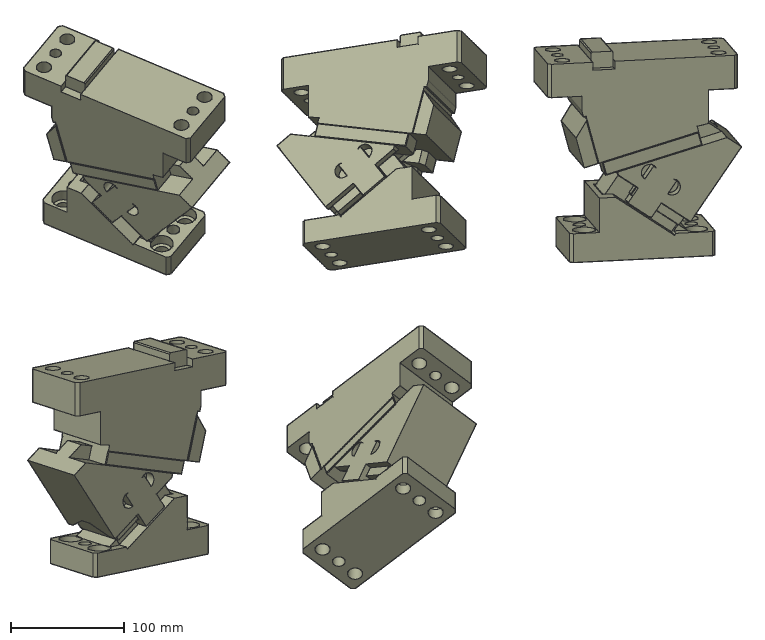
import cadquery as cq
import math

WIDTH = 65.0
HALF_WIDTH = WIDTH / 2
CORNER_CHAMFER = 3.0
HOLE_INSET = 15.0
SCREW_Y = 20.0
DOWEL_DIAMETER = 10.1
SCREW_DIAMETER = 13.1
REACH = 225.0

HOLDER_LENGTH = 170.0
HOLDER_TOP = 180.2
FLANGE_BOTTOM = 150.0
NECK_LEFT = 30.2
NECK_RIGHT = 143.6
NECK_RIGHT_BOTTOM = 119.8
NECK_LEFT_BOTTOM = 136.7
NECK_LIP_X = 31.7
KEY_LEFT = 40.0
KEY_WIDTH = 19.9
KEY_LENGTH = 50.0
KEY_TOP = 187.5
KEY_SLOT_DEPTH = 7.1
KEY_CHAMFER = 1.1

RAIL_ANGLE = 15.0
RAIL_X = 45.5
RAIL_Z = 88.7
RAIL_LENGTH = 92.5
HOLDER_STEP = 5.2
STRIP_START = 3.0
STRIP_HEIGHT = 12.5
STRIP_INNER_Y = 9.4
STRIP_LEAD_IN = 4.5
STRIP_CHAMFER = 0.8

STOP_HEIGHT = 41.2
STOP_THICKNESS = 13.7
STOP_OUTER_HEIGHT = 28.3
STOP_CHAMFER = 1.0

DRIVER_LEFT = 19.7
DRIVER_RIGHT = 150.0
LEFT_STEP_TOP = 26.0
RIGHT_STEP_TOP = 22.0
STEP_X = 45.8
COUNTERBORE_DIAMETER = 20.0
LEFT_COUNTERBORE_DEPTH = 11.0
RIGHT_COUNTERBORE_DEPTH = 10.1
DRIVER_DOWEL_DIAMETER = 11.0

SLOPE_ANGLE = 35.0
SLOPE_X = 60.4
SLOPE_Z = 57.2
GUIDE_START = -5.5
GUIDE_END = 64.5
GUIDE_ROOT = -9.0
CORE_HALF_WIDTH = 19.3
WING_START = 11.8
WING_BOTTOM = 9.0
WING_HALF_WIDTH = 26.2
TAIL_HALF_WIDTH = 23.2
ROOF_ANGLE = 30.0
ROOF_FLAT_HALF_WIDTH = 5.6
RELIEF_LENGTH = 1.9
RELIEF_BOTTOM = -5.5
LEAD_IN_HEIGHT = 10.5
LEAD_IN_LENGTH = 4.3

SLIDER_BOTTOM = 17.5
SLIDER_TOP = 97.5
SLIDER_END = 69.5
RAIL_CLEARANCE = 0.2
SLIDER_RAIL_START = 13.9
LEG_START = 12.4
LEG_END = 37.7
LEG_BOTTOM = 1.7
LEG_INNER_Y = 27.0
HOOK_TOP = 8.5
HOOK_INNER_Y = 20.5
POCKET_RADIUS = 7.1
POCKET_DEPTH = 10.0
POCKET_START = 12.8
POCKET_SPACING = 25.1
POCKET_HEIGHT = 34.7
POCKET_LAND_RISE = 6.5

SIN_RAIL = math.sin(math.radians(RAIL_ANGLE))
COS_RAIL = math.cos(math.radians(RAIL_ANGLE))
SIN_SLOPE = math.sin(math.radians(SLOPE_ANGLE))
COS_SLOPE = math.cos(math.radians(SLOPE_ANGLE))
ROOF_RISE = (WING_HALF_WIDTH - ROOF_FLAT_HALF_WIDTH) * math.tan(math.radians(ROOF_ANGLE))
ROOF_TOP = SLIDER_BOTTOM + ROOF_RISE

FRONT_PLANE = cq.Plane.named("XZ")
RAIL_PLANE = cq.Plane((RAIL_X, 0, RAIL_Z), (COS_RAIL, 0, SIN_RAIL), (0, -1, 0))
SLOPE_PLANE = cq.Plane((SLOPE_X, 0, SLOPE_Z), (COS_SLOPE, 0, -SIN_SLOPE), (0, -1, 0))


def rail_point(along, above):
    """X and Z of a point given along the rail and square to it."""
    return (RAIL_X + along * COS_RAIL - above * SIN_RAIL, RAIL_Z + along * SIN_RAIL + above * COS_RAIL)


def prism(plane, points, half_width):
    """A polygon drawn on a side plane and extruded equally to both sides of Y = 0."""
    return cq.Workplane(plane).polyline(points).close().extrude(half_width, both=True)


def block(plane, x_range, y_range, half_width):
    """A rectangular block on a side plane, centred on Y = 0."""
    x0, x1 = x_range
    y0, y1 = y_range
    return prism(plane, [(x0, y0), (x1, y0), (x1, y1), (x0, y1)], half_width)


def side_block(plane, x_range, y_range, inner, outer):
    """A rectangular block that spans Y from -outer to -inner."""
    x0, x1 = x_range
    y0, y1 = y_range
    flat = cq.Workplane(plane).workplane(offset=inner).polyline([(x0, y0), (x1, y0), (x1, y1), (x0, y1)])
    return flat.close().extrude(outer - inner)


def both_sides(shape):
    """The shape and its mirror image across Y = 0."""
    return shape.union(shape.mirror("XZ"))


def cylinders(places, diameter, bottom, top):
    """Upright cylinders centred on the given X, Y places."""
    disc = cq.Workplane("XY").workplane(offset=bottom).pushPoints(places).circle(diameter / 2)
    return disc.extrude(top - bottom)


def screw_places(left, right):
    return [(x, y) for x in (left, right) for y in (-SCREW_Y, SCREW_Y)]


def dowel_places(left, right):
    return [(left, 0), (right, 0)]


def corner_block(left, right, top):
    """An upright block on the floor with its four vertical edges chamfered."""
    length = right - left
    return (
        cq.Workplane("XY")
        .center((left + right) / 2, 0)
        .rect(length, WIDTH)
        .extrude(top)
        .edges("|Z")
        .chamfer(CORNER_CHAMFER)
    )


def make_key():
    bottom = HOLDER_TOP - KEY_SLOT_DEPTH
    key = cq.Workplane("XY").box(KEY_WIDTH, KEY_LENGTH, KEY_TOP - bottom, centered=(False, True, False))
    key = key.faces(">Z").edges("|Y").chamfer(KEY_CHAMFER)
    return key.translate((KEY_LEFT, 0, bottom))


def make_stop_plate():
    """Four-sided plate against the left face of the holder, chamfered at the sides of that face."""
    points = [(0, 0), (0, STOP_HEIGHT), (-STOP_THICKNESS, STOP_OUTER_HEIGHT), (-STOP_THICKNESS, 0)]
    plate = prism(RAIL_PLANE, points, HALF_WIDTH)
    middle_x, middle_z = rail_point(0, STOP_HEIGHT / 2)
    for side in (-HALF_WIDTH, HALF_WIDTH):
        edge = cq.selectors.NearestToPointSelector((middle_x, side, middle_z))
        plate = plate.edges(edge).chamfer(STOP_CHAMFER)
    return plate


def make_strips():
    """Two slide strips under the holder, one on each side of the slider's tongue."""
    length = (STRIP_START, RAIL_LENGTH)
    strip = side_block(RAIL_PLANE, length, (-STRIP_HEIGHT, 0), STRIP_INNER_Y, HALF_WIDTH)
    lead_x, lead_z = rail_point(STRIP_START, -STRIP_HEIGHT / 2)
    strip = strip.faces("<Y").chamfer(STRIP_CHAMFER)
    lead_edge = cq.selectors.NearestToPointSelector((lead_x, -STRIP_INNER_Y, lead_z))
    return both_sides(strip.edges(lead_edge).chamfer(STRIP_LEAD_IN))


def make_holder():
    plate = corner_block(0, HOLDER_LENGTH, HOLDER_TOP - FLANGE_BOTTOM).translate((0, 0, FLANGE_BOTTOM))
    lip_z = NECK_LEFT_BOTTOM - (NECK_LIP_X - NECK_LEFT) / math.tan(math.radians(RAIL_ANGLE))
    recess_height = (lip_z - RAIL_Z) * COS_RAIL - (NECK_LIP_X - RAIL_X) * SIN_RAIL
    neck = prism(
        FRONT_PLANE,
        [
            (NECK_LEFT, FLANGE_BOTTOM),
            (NECK_LEFT, NECK_LEFT_BOTTOM),
            (NECK_LIP_X, lip_z),
            rail_point(0, recess_height),
            rail_point(0, 0),
            rail_point(RAIL_LENGTH, 0),
            rail_point(RAIL_LENGTH, HOLDER_STEP),
            (NECK_RIGHT, NECK_RIGHT_BOTTOM),
            (NECK_RIGHT, FLANGE_BOTTOM),
        ],
        HALF_WIDTH,
    )
    slot = block(
        FRONT_PLANE,
        (KEY_LEFT, KEY_LEFT + KEY_WIDTH),
        (HOLDER_TOP - KEY_SLOT_DEPTH, HOLDER_TOP),
        HALF_WIDTH,
    )
    right = HOLDER_LENGTH - HOLE_INSET
    holes = cylinders(screw_places(HOLE_INSET, right), SCREW_DIAMETER, FLANGE_BOTTOM, HOLDER_TOP)
    dowels = cylinders(dowel_places(HOLE_INSET, right), DOWEL_DIAMETER, FLANGE_BOTTOM, HOLDER_TOP)
    holder = plate.union(neck).cut(slot).cut(holes).cut(dowels)
    return holder.union(make_key()).union(make_stop_plate()).union(make_strips())


def roof_prism(start, end, bottom):
    """A prism along the slope with a flat-topped 30 degree roof."""
    across = cq.Plane(SLOPE_PLANE.toWorldCoords((start, 0, 0)), (0, 1, 0), (COS_SLOPE, 0, -SIN_SLOPE))
    points = [
        (-WING_HALF_WIDTH, bottom),
        (-WING_HALF_WIDTH, SLIDER_BOTTOM),
        (-ROOF_FLAT_HALF_WIDTH, ROOF_TOP),
        (ROOF_FLAT_HALF_WIDTH, ROOF_TOP),
        (WING_HALF_WIDTH, SLIDER_BOTTOM),
        (WING_HALF_WIDTH, bottom),
    ]
    return cq.Workplane(across).polyline(points).close().extrude(end - start)


def make_driver_base():
    """Stepped block with a slope, a tail that continues under the guide, and a relief before the guide."""
    base = corner_block(DRIVER_LEFT, DRIVER_RIGHT, SLOPE_Z)
    left_step = block(FRONT_PLANE, (0, STEP_X), (LEFT_STEP_TOP, REACH), WIDTH)
    above_right_step = block(FRONT_PLANE, (SLOPE_X, REACH), (RIGHT_STEP_TOP, REACH), WIDTH)
    above_slope = block(SLOPE_PLANE, (0, REACH), (0, REACH), WIDTH)
    sunk_slope = block(SLOPE_PLANE, (0, GUIDE_END), (0, REACH), WIDTH)
    tail = base.intersect(block(SLOPE_PLANE, (GUIDE_END, REACH), (-REACH, WING_BOTTOM), TAIL_HALF_WIDTH))
    relief_span = (GUIDE_START - RELIEF_LENGTH, GUIDE_START)
    relief = block(SLOPE_PLANE, relief_span, (RELIEF_BOTTOM, REACH), CORE_HALF_WIDTH)
    base = base.cut(left_step).cut(above_right_step.intersect(above_slope)).cut(sunk_slope)
    return base.cut(relief).union(tail)


def make_guide():
    """Roofed guide on the slope: a core with overhanging wings and a sloped lead-in at its upper end."""
    core = block(SLOPE_PLANE, (GUIDE_START, GUIDE_END), (GUIDE_ROOT, ROOF_TOP), CORE_HALF_WIDTH)
    wings = block(SLOPE_PLANE, (WING_START, GUIDE_END), (WING_BOTTOM, ROOF_TOP), WING_HALF_WIDTH)
    lead_in_points = [
        (GUIDE_START, ROOF_TOP - LEAD_IN_HEIGHT),
        (GUIDE_START, ROOF_TOP),
        (GUIDE_START + LEAD_IN_LENGTH, ROOF_TOP),
    ]
    lead_in = prism(SLOPE_PLANE, lead_in_points, WIDTH)
    return roof_prism(GUIDE_START, GUIDE_END, GUIDE_ROOT).intersect(core.union(wings)).cut(lead_in)


def make_driver():
    driver = make_driver_base().union(make_guide())
    left = DRIVER_LEFT + HOLE_INSET
    right = DRIVER_RIGHT - HOLE_INSET
    driver = driver.cut(cylinders(screw_places(left, right), SCREW_DIAMETER, 0, LEFT_STEP_TOP))
    driver = driver.cut(cylinders(dowel_places(left, right), DRIVER_DOWEL_DIAMETER, 0, LEFT_STEP_TOP))
    counterbores = (
        (left, LEFT_STEP_TOP, LEFT_COUNTERBORE_DEPTH),
        (right, RIGHT_STEP_TOP, RIGHT_COUNTERBORE_DEPTH),
    )
    for x, top, depth in counterbores:
        places = [(x, -SCREW_Y), (x, SCREW_Y)]
        driver = driver.cut(cylinders(places, COUNTERBORE_DIAMETER, top - depth, top))
    return driver


def make_pockets():
    """Two half-round pockets in each side of the slider, on either side of a flat-ended land."""
    floor_y = HALF_WIDTH - POCKET_DEPTH
    ends = (POCKET_START, POCKET_START + POCKET_SPACING)
    centres = [(along, POCKET_HEIGHT) for along in ends]
    floor = cq.Workplane(SLOPE_PLANE).workplane(offset=floor_y)
    discs = floor.pushPoints(centres).circle(POCKET_RADIUS).extrude(POCKET_DEPTH)
    land_height = (POCKET_HEIGHT - POCKET_RADIUS, POCKET_HEIGHT + POCKET_LAND_RISE)
    land = side_block(SLOPE_PLANE, ends, land_height, floor_y, HALF_WIDTH)
    return both_sides(discs.cut(land))


def make_legs():
    """Legs that straddle the guide, with hooks that reach under its wings."""
    span = (LEG_START, LEG_END)
    leg = side_block(SLOPE_PLANE, span, (LEG_BOTTOM, SLIDER_BOTTOM), LEG_INNER_Y, HALF_WIDTH)
    hook = side_block(SLOPE_PLANE, span, (LEG_BOTTOM, HOOK_TOP), HOOK_INNER_Y, LEG_INNER_Y)
    return both_sides(leg.union(hook))


def slider_layer(rail_top, half_width):
    """The slider's side shape between the slope and the given height above the rail."""
    along_slope = block(SLOPE_PLANE, (-REACH, SLIDER_END), (SLIDER_BOTTOM, SLIDER_TOP), half_width)
    below_rail = block(RAIL_PLANE, (SLIDER_RAIL_START, REACH), (-REACH, rail_top), half_width)
    return along_slope.intersect(below_rail)


def make_slider():
    body = slider_layer(-STRIP_HEIGHT - RAIL_CLEARANCE, HALF_WIDTH)
    tongue = slider_layer(-RAIL_CLEARANCE, STRIP_INNER_Y)
    guide_groove = roof_prism(-REACH, REACH, 0)
    return body.union(tongue).cut(guide_groove).union(make_legs()).cut(make_pockets())


holder = make_holder()
slider = make_slider()
driver = make_driver()
result = cq.Compound.makeCompound([holder.val(), slider.val(), driver.val()])